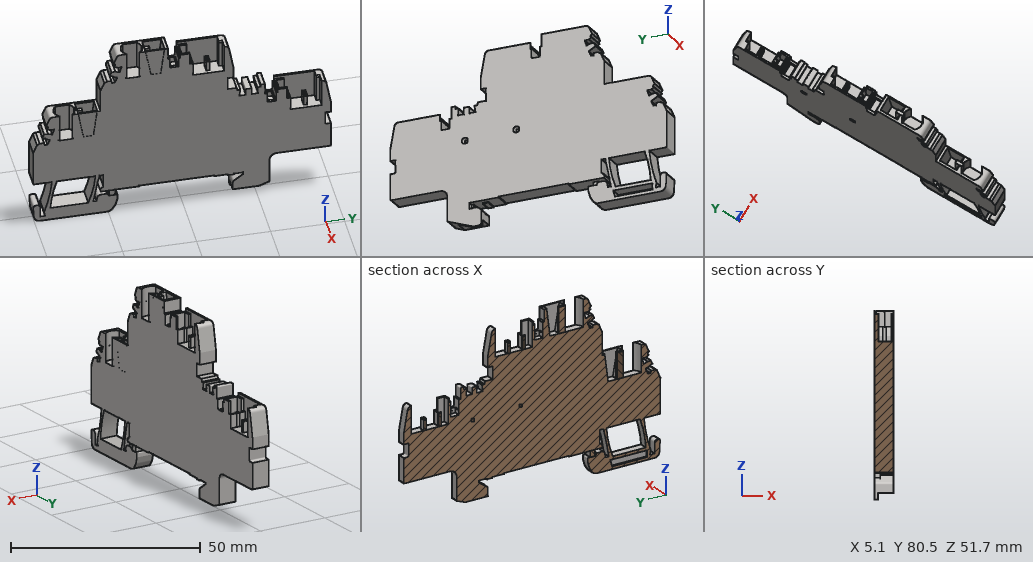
import cadquery as cq
import math


THICKNESS = 5.1
HALF_LENGTH = 40.25
LOWER_TOP = 34.0
UPPER_TOP = 51.7
BODY_UNDERSIDE = 12.4
RAIL_SEAT = 7.0

ENTRY_SHIFT = (-26.3, 15.9)
EXIT_SHIFT = (18.2, UPPER_TOP - LOWER_TOP)
ENTRY_LEVELS = ((0, 0), ENTRY_SHIFT)
EXIT_LEVELS = ((0, 0), EXIT_SHIFT)

POCKET_WALL = 0.5
POCKET_START = 25.85
POCKET_END = 37.75
POCKET_DEPTH = 8.05
POST_WIDTH = 2.25
POST_LENGTH = 1.0
POST_CHAMFER = 0.4
SHELF_TOP = 33.2
SHELF_END = 28.4
LEDGE_TOP = 29.8
LEDGE_END = 29.3
PIT_X = (1.1, 4.5)
PIT_Y = (26.3, SHELF_END)
PIT_BEVEL = 0.6
PIT_BEVEL_DEPTH = 2.4
ENTRY_BLADE_X = (2.25, 3.1)
TONGUE_X = (1.85, 4.0)
TONGUE_Y = 33.6
TONGUE_LENGTH = 1.0
TONGUE_HEIGHT = 3.2
TONGUE_GROOVE = 0.3

SLOT_Y = (23.0, 25.45)
SLOT_STEP = 32.2
SLOT_FLOOR = 29.4
SLOT_RECESS_X = (0.7, 4.35)
SLOT_RECESS_DEPTH = 1.6

WELL_X = (0.7, 4.75)
WELL_TOP_Y = (-28.0, -22.9)
WELL_FLOOR_Y = (-26.6, -23.9)
WELL_DEPTH = 8.05
WIRE_WELL_X = 2.8
WIRE_WELL_Y = -31.4
WIRE_WELL_RADIUS = 2.8
EXIT_BLADE_X = (2.3, 3.3)
EXIT_BLADE_Y = (-28.7, WELL_FLOOR_Y[0])
EXIT_BLADE_DROP = 0.4

PIN_CENTRES = ((18.5, 25.1), (3.55, 25.6))
HOLE_MOUTH_RADIUS = 0.9
PIN_RADIUS = 0.4
HOLE_TAPER_DEPTH = 0.8
PIN_END_X = 4.35

LAYER_X = 1.5
HOOK_NOTCH_Y = (15.5, 17.2)
HOOK_NOTCH_FLOOR = 5.3
HOOK_SKIN = 1.0
HOOK_RELIEF_Y = (13.7, 23.7)
HOOK_RELIEF_HEIGHT = 1.8
FOOT_NOSE_TOP = 5.3
FOOT_PLATE_TOP = 3.9
RAIL_TAB_Y = (-19.7, -18.1)
RAIL_BUMP_Y = (12.4, 14.1)
RAIL_BUMP_DROP = 0.25
FOOT_RECESS = ((-24.6, 2.8), (-36.1, 2.8), (-36.1, 1.0), (-25.2, 1.0))
FOOT_RECESS_DEPTH = 3.2


def moved(points, shift):
    """Move outline points (Y, Z, optional radius) by a (Y, Z) shift."""
    return [(p[0] + shift[0], p[1] + shift[1], *p[2:]) for p in points]


def outline(points):
    """Close an outline on the YZ plane; a third value in a point rounds that corner."""
    corners = []
    for i, point in enumerate(points):
        corner = cq.Vector(point[0], point[1])
        if len(point) == 2:
            corners.append((corner, None, corner))
            continue
        before = cq.Vector(*points[i - 1][:2])
        after = cq.Vector(*points[(i + 1) % len(points)][:2])
        to_before = (before - corner).normalized()
        to_after = (after - corner).normalized()
        half_angle = to_before.getAngle(to_after) / 2
        setback = point[2] / math.tan(half_angle)
        bisector = (to_before + to_after).normalized()
        middle = corner + bisector * (point[2] / math.sin(half_angle) - point[2])
        corners.append((corner + to_before * setback, middle, corner + to_after * setback))

    sketch = cq.Workplane("YZ").moveTo(*corners[0][2].toTuple()[:2])
    for begin, middle, end in corners[1:] + corners[:1]:
        sketch = sketch.lineTo(*begin.toTuple()[:2])
        if middle is not None:
            sketch = sketch.threePointArc(middle.toTuple()[:2], end.toTuple()[:2])
    return sketch.wire()


def box(x_range, y_range, z_range):
    """Box between two limits on each axis, given in any order."""
    limits = [sorted(r) for r in (x_range, y_range, z_range)]
    size = [high - low for low, high in limits]
    corner = [low for low, high in limits]
    return cq.Workplane("XY").box(*size, centered=False).translate(tuple(corner))


ENTRY_END = [
    (38.7, 19.5, 0.4), (38.7, 23.3), (40.25, 23.3), (40.25, 26.6), (38.9, LOWER_TOP, 1.3),
    (POCKET_START, LOWER_TOP), (POCKET_START, SLOT_STEP), (SLOT_Y[1], SLOT_STEP),
    (SLOT_Y[1], SLOT_FLOOR, 0.4), (SLOT_Y[0], SLOT_FLOOR, 0.4), (SLOT_Y[0], SLOT_STEP),
    (22.5, SLOT_STEP),
]
TEETH = [
    (22.5, 35.5, 0.25), (21.25, 35.5), (21.25, 34.8), (20.4, 34.8), (20.5, 32.8), (18.8, 32.8),
    (18.8, 34.7, 0.25), (17.2, 34.7, 0.25), (17.2, 32.8), (15.45, 32.8), (15.8, 34.7), (15.0, 34.7),
    (14.7, 35.5), (12.4, 35.5),
]
EXIT_GRIP = [
    (-35.6, LOWER_TOP, 1.05), (-36.7, 31.4), (-36.2, 30.75), (-36.55, 30.4), (-35.8, 29.9),
    (-34.5, 29.9), (-35.1, 28.25), (-36.2, 28.7), (-37.3, 28.7), (-37.75, 27.6), (-35.75, 26.5),
    (-36.4, 25.1), (-37.1, 25.0), (-37.3, 25.8), (-38.5, 25.8), (-39.2, 25.4), (-HALF_LENGTH, 22.95),
]
UNDERSIDE = [
    (-HALF_LENGTH, BODY_UNDERSIDE, 0.25), (-21.25, BODY_UNDERSIDE),
    (-21.25, 8.6), (-22.2, 7.8), (-22.0, RAIL_SEAT), (-11.6, RAIL_SEAT), (-11.6, 7.25), (8.7, 7.25),
    (8.7, RAIL_SEAT), (16.6, RAIL_SEAT), (16.6, 6.5), (13.73, 4.5, 1.0), (13.73, 0, 0.65), (16.1, 0),
    (23.7, 2.8, 0.4), (23.7, 11.9, 1.9), (HALF_LENGTH, 11.9, 0.4), (HALF_LENGTH, 19.5),
]
FOOT = [
    (-17.4, FOOT_NOSE_TOP, 0.25), (-19.7, FOOT_NOSE_TOP), (-20.3, 6.0), (-22.8, 6.0, 1.1), (-23.1, 4.1),
    (-24.0, 4.1), (-25.4, FOOT_PLATE_TOP), (-35.6, FOOT_PLATE_TOP), (-37.3, 2.7), (-37.0, 1.45),
    (-38.3, 1.45), (-38.3, FOOT_NOSE_TOP, 0.8), (-HALF_LENGTH, FOOT_NOSE_TOP, 0.7), (-39.9, 0, 1.6),
    (-19.3, 0, 2.0), (-17.95, 2.1, 1.6), (-17.4, 4.0),
]


def spring_leg(inner, outer):
    """Bowed leg between the body and the foot; each side is three points of an arc."""
    sketch = (
        cq.Workplane("YZ").moveTo(*inner[0]).threePointArc(inner[1], inner[2])
        .lineTo(*outer[2]).threePointArc(outer[1], outer[0]).close()
    )
    return sketch.extrude(THICKNESS)


def housing_blank():
    """Full-thickness body with its foot, spring legs and rail hook."""
    profile = (
        ENTRY_END + TEETH + moved(ENTRY_END[1:-1], ENTRY_SHIFT) + [(-3.8, 48.3)]
        + [(-3.8, UPPER_TOP)] + moved(EXIT_GRIP, EXIT_SHIFT)
        + [(-22.05, LOWER_TOP)] + EXIT_GRIP + UNDERSIDE
    )
    blank = outline(profile).extrude(THICKNESS)
    foot = outline(FOOT).extrude(THICKNESS)
    front_leg = spring_leg(
        ((-22.3, BODY_UNDERSIDE), (-23.2, 8.45), (-24.0, FOOT_PLATE_TOP)),
        ((-23.4, BODY_UNDERSIDE), (-24.0, 8.45), (-25.4, FOOT_PLATE_TOP)),
    )
    rear_leg = spring_leg(
        ((-33.8, BODY_UNDERSIDE), (-34.95, 8.45), (-35.6, FOOT_PLATE_TOP)),
        ((-35.2, BODY_UNDERSIDE), (-35.9, 7.6), (-37.3, 2.7)),
    )
    return blank.union(foot).union(front_leg).union(rear_leg)


def rail_details(body):
    """Hook notch and relief, small rail bump and blind recess in the foot."""
    notch = box((0, LAYER_X), HOOK_NOTCH_Y, (HOOK_NOTCH_FLOOR, RAIL_SEAT))
    relief = box((HOOK_SKIN, THICKNESS), HOOK_RELIEF_Y, (0, HOOK_RELIEF_HEIGHT))
    bump = box((LAYER_X, THICKNESS), RAIL_BUMP_Y, (RAIL_SEAT - RAIL_BUMP_DROP, RAIL_SEAT))
    recess = outline(FOOT_RECESS).extrude(FOOT_RECESS_DEPTH)
    return body.cut(notch).cut(relief).union(bump).cut(recess)


def entry_pocket():
    """Pocket open at +X, less its corner post, the shelf with its pit and the bevelled ledge."""
    floor = LOWER_TOP - POCKET_DEPTH
    pocket = box((POCKET_WALL, THICKNESS), (POCKET_START, POCKET_END), (floor, LOWER_TOP))
    post = box(
        (POCKET_WALL, POCKET_WALL + POST_WIDTH),
        (POCKET_END - POST_LENGTH, POCKET_END),
        (floor, LOWER_TOP),
    ).faces(">Z").edges(">X").chamfer(POST_CHAMFER)
    shelf = box((POCKET_WALL, THICKNESS), (POCKET_START, SHELF_END), (floor, SHELF_TOP))
    ledge = box((POCKET_WALL, THICKNESS), (SHELF_END, LEDGE_END), (floor, LEDGE_TOP))
    pit = box(PIT_X, PIT_Y, (floor, SHELF_TOP))
    bevel = (
        cq.Workplane("YZ").workplane(offset=PIT_X[0])
        .moveTo(SHELF_END, LEDGE_TOP)
        .lineTo(SHELF_END + PIT_BEVEL, LEDGE_TOP)
        .lineTo(SHELF_END, LEDGE_TOP - PIT_BEVEL_DEPTH)
        .close().extrude(PIT_X[1] - PIT_X[0])
    )
    return pocket.cut(post).cut(shelf.cut(pit)).cut(ledge.cut(bevel))


def marker_recess():
    """Recess below the floor of a marker slot, between its two side walls."""
    return box(SLOT_RECESS_X, SLOT_Y, (SLOT_FLOOR - SLOT_RECESS_DEPTH, SLOT_FLOOR))


def tapered_well():
    """Rectangular well whose two end walls slope inwards."""
    floor = LOWER_TOP - WELL_DEPTH
    ends = [
        (WELL_TOP_Y[0], LOWER_TOP), (WELL_TOP_Y[1], LOWER_TOP),
        (WELL_FLOOR_Y[1], floor), (WELL_FLOOR_Y[0], floor),
    ]
    return outline(ends).extrude(WELL_X[1] - WELL_X[0]).translate((WELL_X[0], 0, 0))


def wire_well():
    """Round well, flattened by the -X wall and breaking out through the +X face."""
    floor = LOWER_TOP - WELL_DEPTH
    bore = (
        cq.Workplane("XY", origin=(WIRE_WELL_X, WIRE_WELL_Y, floor))
        .circle(WIRE_WELL_RADIUS).extrude(WELL_DEPTH)
    )
    y_range = (WIRE_WELL_Y - WIRE_WELL_RADIUS, WIRE_WELL_Y + WIRE_WELL_RADIUS)
    return bore.intersect(box((WELL_X[0], THICKNESS), y_range, (floor, LOWER_TOP)))


def pin_hole(centre):
    """Tapered mouth in the -X face followed by the bore that holds a pin."""
    mouth = cq.Solid.makeCone(
        HOLE_MOUTH_RADIUS, PIN_RADIUS, HOLE_TAPER_DEPTH, cq.Vector(0, *centre), cq.Vector(1, 0, 0)
    )
    return cq.Workplane(mouth).union(contact_pin(centre))


def make_housing():
    """Housing with every pocket, well and seat for the other bodies."""
    body = rail_details(housing_blank())
    for shift in ENTRY_LEVELS:
        for cutter in (entry_pocket(), marker_recess(), entry_blade()):
            body = body.cut(cutter.translate((0, *shift)))
    for shift in EXIT_LEVELS:
        for cutter in (tapered_well(), wire_well(), exit_blade_slot()):
            body = body.cut(cutter.translate((0, *shift)))
    for centre in PIN_CENTRES:
        body = body.cut(pin_hole(centre))
    return body


def entry_blade():
    """Blade standing in the ledge between a pocket and its pit."""
    return box(ENTRY_BLADE_X, (SHELF_END, LEDGE_END), (LOWER_TOP - POCKET_DEPTH, LEDGE_TOP))


def exit_blade_slot():
    """Slot through the wall between a tapered well and its wire well."""
    return box(EXIT_BLADE_X, EXIT_BLADE_Y, (LOWER_TOP - WELL_DEPTH, LOWER_TOP))


def exit_blade():
    """Blade filling that slot up to just below the level top."""
    z_range = (LOWER_TOP - WELL_DEPTH, LOWER_TOP - EXIT_BLADE_DROP)
    return box(EXIT_BLADE_X, EXIT_BLADE_Y, z_range)


def contact_tongue():
    """Small grooved tongue standing on a pocket floor."""
    floor = LOWER_TOP - POCKET_DEPTH
    top = floor + TONGUE_HEIGHT
    half_length = TONGUE_LENGTH / 2
    half_groove = TONGUE_GROOVE / 2
    tongue = box(TONGUE_X, (TONGUE_Y - half_length, TONGUE_Y + half_length), (floor, top))
    groove = box(TONGUE_X, (TONGUE_Y - half_groove, TONGUE_Y + half_groove), (top - TONGUE_GROOVE, top))
    return tongue.cut(groove)


def contact_pin(centre):
    """Round pin whose end closes the tapered hole mouth."""
    return (
        cq.Workplane("YZ", origin=(HOLE_TAPER_DEPTH, *centre))
        .circle(PIN_RADIUS).extrude(PIN_END_X - HOLE_TAPER_DEPTH)
    )


def rail_tab():
    """Tab between the rail seat and the nose of the foot."""
    return box((LAYER_X, THICKNESS), RAIL_TAB_Y, (FOOT_NOSE_TOP, RAIL_SEAT))


housing = make_housing()
entry_blades = [entry_blade().translate((0, *shift)) for shift in ENTRY_LEVELS]
contact_tongues = [contact_tongue().translate((0, *shift)) for shift in ENTRY_LEVELS]
exit_blades = [exit_blade().translate((0, *shift)) for shift in EXIT_LEVELS]
contact_pins = [contact_pin(centre) for centre in PIN_CENTRES]

copies = entry_blades + contact_tongues + exit_blades + contact_pins
result = cq.Compound.makeCompound([housing.val(), *[copy.val() for copy in copies], rail_tab().val()])